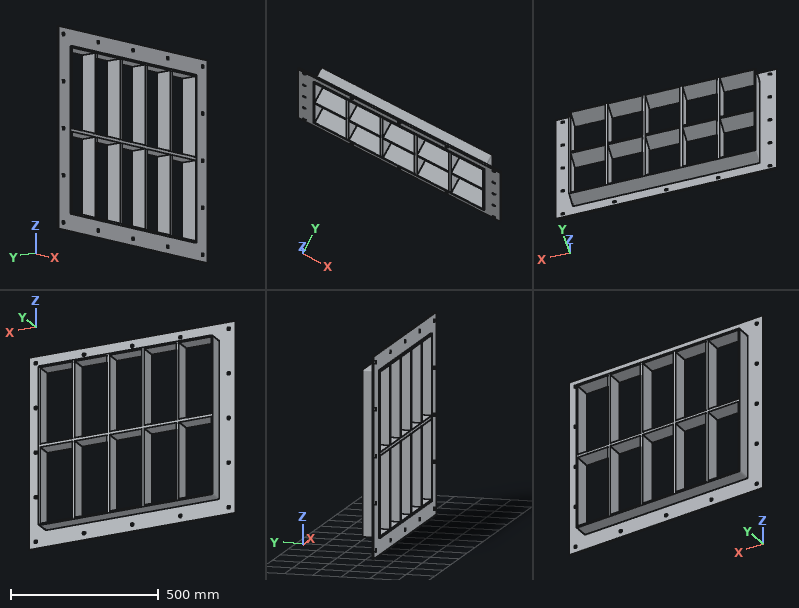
import cadquery as cq

flange_width = 774.5
flange_height = 700.0
flange_thickness = 6.0
flange_border = 60.0

frame_depth = 60.0
frame_front_step = 3.0
frame_width = flange_width - 2 * flange_border
frame_height = flange_height - 2 * flange_border
frame_corner_radius = 6.0
wall_thickness = 6.0

columns = 5
rows = 2
vertical_bar = 10.0
horizontal_bar = 12.0
window_width = (frame_width - 2 * wall_thickness - (columns - 1) * vertical_bar) / columns
window_height = (frame_height - 2 * wall_thickness - (rows - 1) * horizontal_bar) / rows

hole_diameter = 10.5
hole_edge_distance = 25.0
holes_per_side = 5


def slab(width, height, front_y, depth):
    """Block centred on the Y axis, reaching from front_y towards +Y."""
    return cq.Workplane("XY").box(width, depth, height).translate((0, front_y + depth / 2, 0))


def make_flange():
    """Plain rectangular plate set back from the front of the frame."""
    return slab(flange_width, flange_height, frame_front_step, flange_thickness)


def make_frame():
    """Solid frame block with rounded outer corners."""
    return slab(frame_width, frame_height, 0, frame_depth).edges("|Y").fillet(frame_corner_radius)


def make_windows():
    """Grid of sharp-cornered openings through the full frame depth."""
    column_pitch = window_width + vertical_bar
    row_pitch = window_height + horizontal_bar
    return (
        cq.Workplane("XZ")
        .rarray(column_pitch, row_pitch, columns, rows)
        .rect(window_width, window_height)
        .extrude(-frame_depth)
    )


def make_fixing_holes():
    """Through holes evenly spaced along the four sides of the flange."""
    last = holes_per_side - 1
    span_x = flange_width - 2 * hole_edge_distance
    span_z = flange_height - 2 * hole_edge_distance
    points = [
        (span_x * (column / last - 0.5), span_z * (row / last - 0.5))
        for column in range(holes_per_side)
        for row in range(holes_per_side)
        if column in (0, last) or row in (0, last)
    ]
    return cq.Workplane("XZ").pushPoints(points).circle(hole_diameter / 2).extrude(-frame_depth)


result = make_flange().union(make_frame()).cut(make_windows()).cut(make_fixing_holes())